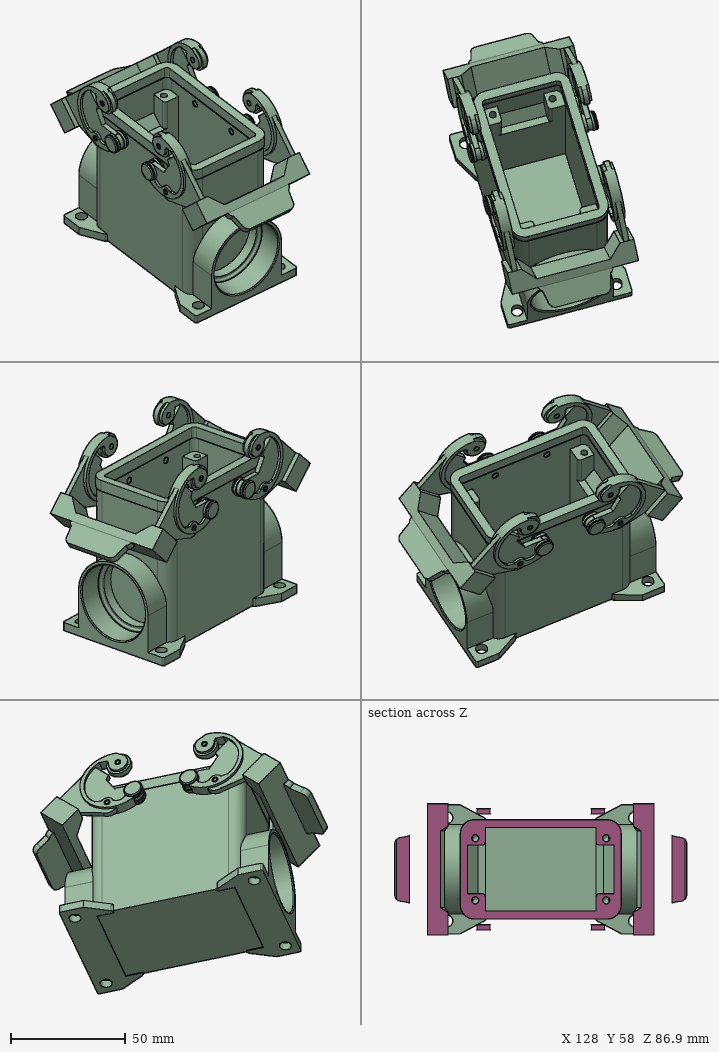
import cadquery as cq
import math

BODY_HALF_X = 35.3
BODY_HALF_Y = 21.8
BODY_BOTTOM = 0.5
COLLAR_BOTTOM = 67.5
BODY_TOP = 72.9
COLLAR_STEP = 0.3
CORNER_RADIUS = 6.2

CAVITY_HALF_X = 31.6
CAVITY_HALF_Y = 17.85
CAVITY_UNDERCUT = 0.4
CAVITY_RADIUS = 1.5
CAVITY_LOWER_RADIUS = 2.8
CAVITY_FLOOR = 4.0

POST_INNER_X = 24.2
POST_INNER_Y = 10.6
POST_TOP = 60.8
POST_RADIUS = 1.5
POST_HOLE_X = 28.7
POST_HOLE_Y = 13.6
POST_HOLE_RADIUS = 1.5
POST_HOLE_DEPTH = 12.0
POST_HOLE_TIP = 0.9

SHELF_SLOPE_X = 27.4
SHELF_TOP = 50.4

HUB_END_X = 46.8
HUB_RADIUS = 19.6
HUB_AXIS_Z = 22.0
BORE_RADIUS = 17.8
BORE_CHAMFER = 0.5
BORE_STEP_X = 35.4
BORE_STEP_RADIUS = 17.5
BORE_END_X = 33.8
BORE_END_FILLET = 1.0
KNOCKOUT_RADIUS = 15.75
KNOCKOUT_FLOOR_X = 29.0

FOOT_HEIGHT = 4.0
FOOT_HALF_Y = 28.4
FOOT_STRAIGHT_X = 35.5
FOOT_TIP_X = 23.8
FOOT_TIP_BEVEL = 0.8
FOOT_CORNER_RADIUS = 1.0
FOOT_HOLE_X = 41.2
FOOT_HOLE_Y = 22.6
FOOT_HOLE_RADIUS = 2.6

RING_X, RING_Z = -21.9, 71.45
RING_RADIUS = 15.49
RING_INNER_RADIUS = 13.6
ROLLER_RADIUS = 5.5
ROLLER_SHOULDER_RADIUS = 4.4
ROLLER_X = -19.9
PIN_X, PIN_Z = -12.8, 63.3
PIN_RADIUS = 4.2
PIN_GROOVE_RADIUS = 3.7
RIVET_X, RIVET_Z = -24.8, 59.1
RIVET_RADIUS = 1.3
RIVET_DIMPLE_RADIUS = 0.9
RIVET_DIMPLE_DEPTH = 0.3
RIVET_HEAD = 0.3
RIVET_BUMP_RADIUS = 2.7
PLATE_LOBE_RADIUS = 5.1
ARM_INSET = 0.1
HOOK_UNDERSIDE_Z = 83.35

RING_NEAR_Y = 22.8
PLATE_NEAR_Y = 24.25
PLATE_FAR_Y = 26.6
RING_FAR_Y = 27.75
PIN_GROOVE_FAR_Y = 28.1
PIN_END_Y = 29.0
PIN_CHAMFER = 0.5
PIN_HOLE_RADIUS = 1.5
PIN_HOLE_DEPTH = 0.9

BAR_HALF_Y = 28.8
BAR_START = 20.9
BAR_WIDTH = 10.5
BAR_DEPTH = 14.0
NOTCH_FLOOR_WIDTH = 4.2
NOTCH_HALF_Y_FLOOR = 16.8
NOTCH_HALF_Y_TOP = 22.5

TAB_END_X = -63.995
TAB_ANGLE = 32.5
TAB_THICKNESS = 3.2
TAB_ROOT = 1.5

DIAGONAL = math.sqrt(0.5)
ROLLER_Z = RING_Z + math.sqrt((RING_RADIUS - ROLLER_RADIUS) ** 2 - (ROLLER_X - RING_X) ** 2)


def both_ends(shape):
    return shape.union(shape.mirror("YZ"))


def both_sides(shape):
    return shape.union(shape.mirror("XZ"))


def rounded_box(half_x, half_y, bottom, top, radius):
    box = cq.Workplane("XY").workplane(offset=bottom).rect(2 * half_x, 2 * half_y).extrude(top - bottom)
    return box.edges("|Z").fillet(radius)


def side_plane(y):
    """XZ workplane at -y whose positive extrusions grow towards -Y."""
    return cq.Workplane("XZ", origin=(0, -y, 0))


def side_disc(x, z, radius, near_y, far_y):
    """Disc about a Y axis on the -Y side, between two distances from the XZ plane."""
    return side_plane(near_y).center(x, z).circle(radius).extrude(far_y - near_y)


def end_disc(radius, start_x, end_x):
    """Disc about the hub axis on the -X side, between two distances from the YZ plane."""
    plane = cq.Workplane("YZ", origin=(-start_x, 0, HUB_AXIS_Z))
    return plane.circle(radius).extrude(start_x - end_x)


def make_shell():
    body = rounded_box(BODY_HALF_X, BODY_HALF_Y, BODY_BOTTOM, COLLAR_BOTTOM, CORNER_RADIUS)
    collar = rounded_box(
        BODY_HALF_X + COLLAR_STEP, BODY_HALF_Y + COLLAR_STEP, COLLAR_BOTTOM, BODY_TOP, CORNER_RADIUS
    )
    return body.union(collar)


def make_hub():
    round_part = end_disc(HUB_RADIUS, HUB_END_X, CAVITY_HALF_X)
    length = HUB_END_X - CAVITY_HALF_X
    base = cq.Workplane("XY").box(length, 2 * HUB_RADIUS, HUB_AXIS_Z, centered=(False, True, False))
    return round_part.union(base.translate((-HUB_END_X, 0, 0)))


def make_foot():
    inner_y = BODY_HALF_Y - 1
    outline = [
        (-HUB_END_X, 0),
        (-HUB_END_X, -FOOT_HALF_Y),
        (-FOOT_STRAIGHT_X, -FOOT_HALF_Y),
        (-FOOT_TIP_X - FOOT_TIP_BEVEL, -BODY_HALF_Y - FOOT_TIP_BEVEL),
        (-FOOT_TIP_X, -BODY_HALF_Y),
        (-FOOT_TIP_X, -inner_y),
        (-CAVITY_HALF_X, -inner_y),
        (-CAVITY_HALF_X, 0),
    ]
    foot = cq.Workplane("XY").polyline(outline).close().extrude(FOOT_HEIGHT)
    corner = cq.selectors.NearestToPointSelector((-HUB_END_X, -FOOT_HALF_Y, FOOT_HEIGHT / 2))
    return foot.edges("|Z").edges(corner).fillet(FOOT_CORNER_RADIUS)


def make_foot_hole():
    hole = cq.Workplane("XY").center(-FOOT_HOLE_X, -FOOT_HOLE_Y)
    return hole.circle(FOOT_HOLE_RADIUS).extrude(FOOT_HEIGHT)


def make_cavity():
    upper = rounded_box(CAVITY_HALF_X, CAVITY_HALF_Y, CAVITY_FLOOR, BODY_TOP, CAVITY_RADIUS)
    lower = rounded_box(
        CAVITY_HALF_X + CAVITY_UNDERCUT,
        CAVITY_HALF_Y + CAVITY_UNDERCUT,
        CAVITY_FLOOR,
        COLLAR_BOTTOM,
        CAVITY_LOWER_RADIUS,
    )
    return upper.union(lower)


def make_post():
    outer_x = CAVITY_HALF_X + 1
    outer_y = CAVITY_HALF_Y + 1
    post = (
        cq.Workplane("XY")
        .box(outer_x - POST_INNER_X, outer_y - POST_INNER_Y, POST_TOP - CAVITY_FLOOR, centered=False)
        .translate((-outer_x, -outer_y, CAVITY_FLOOR))
    )
    post = post.edges("|Z and >X and >Y").fillet(POST_RADIUS)
    hole = cq.Workplane("XY", origin=(-POST_HOLE_X, -POST_HOLE_Y, POST_TOP))
    post = post.cut(hole.circle(POST_HOLE_RADIUS).extrude(-POST_HOLE_DEPTH))
    tip = cq.Solid.makeCone(
        POST_HOLE_RADIUS,
        0,
        POST_HOLE_TIP,
        pnt=cq.Vector(-POST_HOLE_X, -POST_HOLE_Y, POST_TOP - POST_HOLE_DEPTH),
        dir=cq.Vector(0, 0, -1),
    )
    return post.cut(cq.Workplane(tip))


def make_shelf():
    wall_x = CAVITY_HALF_X + 1
    shelf_z = SHELF_TOP - (CAVITY_HALF_X - SHELF_SLOPE_X)
    outline = [
        (-wall_x, CAVITY_FLOOR),
        (-wall_x, SHELF_TOP + 1),
        (-SHELF_SLOPE_X, shelf_z),
        (-POST_INNER_X, shelf_z),
        (-POST_INNER_X, CAVITY_FLOOR),
    ]
    half_y = CAVITY_HALF_Y + 1
    return cq.Workplane("XZ").polyline(outline).close().extrude(half_y, both=True)


def make_bore():
    bore = end_disc(BORE_RADIUS, HUB_END_X, BORE_STEP_X)
    seat = end_disc(BORE_STEP_RADIUS, BORE_STEP_X, BORE_END_X).faces(">X").edges().fillet(BORE_END_FILLET)
    knockout = end_disc(KNOCKOUT_RADIUS, BORE_END_X, KNOCKOUT_FLOOR_X)
    mouth_plane = cq.Workplane("YZ", origin=(-HUB_END_X, 0, HUB_AXIS_Z))
    mouth = mouth_plane.circle(BORE_RADIUS + BORE_CHAMFER).extrude(BORE_CHAMFER, taper=45)
    return bore.union(seat).union(knockout).union(mouth)


def make_housing():
    housing = make_shell()
    housing = housing.union(both_ends(make_hub())).union(both_sides(both_ends(make_foot())))
    housing = housing.cut(make_cavity())
    housing = housing.union(both_sides(both_ends(make_post()))).union(both_ends(make_shelf()))
    housing = housing.cut(both_ends(make_bore()))
    return housing.cut(both_sides(both_ends(make_foot_hole())))


def on_ring(radius, angle):
    """Point at an angle in degrees on a circle about the ring centre."""
    turn = math.radians(angle)
    return (RING_X + radius * math.cos(turn), RING_Z + radius * math.sin(turn))


def on_arm(along, inward):
    """Point of the lever's side outline, from where the straight arm leaves the ring."""
    start_x, start_z = on_ring(RING_RADIUS, 135)
    return (start_x + (inward - along) * DIAGONAL, start_z - (inward + along) * DIAGONAL)


def make_roller_relief(near_y, far_y):
    """Step around the free rim of the roller, clear of where the hook band joins it."""
    reach = 2 * ROLLER_RADIUS
    rim = (
        side_plane(near_y)
        .center(ROLLER_X, ROLLER_Z)
        .circle(ROLLER_RADIUS + 1)
        .circle(ROLLER_SHOULDER_RADIUS)
        .extrude(far_y - near_y)
    )
    band = [(0, 0), (2.2, 3.8), (-0.8, 5.7), (-0.8, reach), (-reach, reach), (-reach, 2.1), (-5.1, 2.1), (-4.35, 0.75)]
    join = side_plane(near_y).center(ROLLER_X, ROLLER_Z).polyline(band).close().extrude(far_y - near_y)
    return rim.cut(join)


def make_hook():
    """C-shaped hook band from the pivot pin round to the roller."""
    roller_angle = math.degrees(math.atan2(ROLLER_Z - RING_Z, ROLLER_X - RING_X))
    lip_rise = HOOK_UNDERSIDE_Z - ROLLER_Z
    underside_rise = HOOK_UNDERSIDE_Z - RING_Z
    opening = (RING_X - math.sqrt(RING_INNER_RADIUS**2 - underside_rise**2), HOOK_UNDERSIDE_Z)
    outline = (
        side_plane(RING_NEAR_Y)
        .moveTo(*on_ring(RING_RADIUS, roller_angle))
        .threePointArc(on_ring(RING_RADIUS, 180), on_ring(RING_RADIUS, -55))
        .lineTo(PIN_X, PIN_Z)
        .lineTo(-16.7, 60.9)
        .threePointArc((-19.7, 59.0), (RIVET_X + RIVET_BUMP_RADIUS, RIVET_Z + 0.8))
        .threePointArc((RIVET_X, RIVET_Z + RIVET_BUMP_RADIUS), (RIVET_X - RIVET_BUMP_RADIUS, RIVET_Z + 1.5))
        .lineTo(*on_ring(RING_INNER_RADIUS, 230))
        .threePointArc(on_ring(RING_INNER_RADIUS, 180), opening)
        .lineTo(ROLLER_X - math.sqrt(ROLLER_RADIUS**2 - lip_rise**2), HOOK_UNDERSIDE_Z)
        .threePointArc((ROLLER_X, ROLLER_Z - ROLLER_RADIUS), on_ring(RING_RADIUS, roller_angle))
        .close()
    )
    hook = outline.extrude(RING_FAR_Y - RING_NEAR_Y)
    for near_y, far_y in [(RING_NEAR_Y, PLATE_NEAR_Y), (PLATE_FAR_Y, RING_FAR_Y)]:
        hook = hook.cut(make_roller_relief(near_y, far_y))
        hook = hook.union(side_disc(PIN_X, PIN_Z, PIN_RADIUS, near_y, far_y))
    return hook


def make_arm():
    """Middle plate of the lever, from the handle bar to the pivot pin."""
    thickness = PLATE_FAR_Y - PLATE_NEAR_Y
    plate_radius = RING_RADIUS - ARM_INSET
    plate_top = PIN_Z + PIN_RADIUS - ARM_INSET
    plate = (
        side_plane(PLATE_NEAR_Y)
        .moveTo(*on_arm(BAR_START + 1, ARM_INSET))
        .lineTo(*on_arm(0, ARM_INSET))
        .lineTo(-30.8, 82.3)
        .lineTo(-24.5, 76.0)
        .lineTo(-25.7, 73.8)
        .lineTo(-21.8, plate_top)
        .lineTo(PIN_X, plate_top)
        .lineTo(*on_ring(plate_radius, -55))
        .threePointArc(on_ring(plate_radius, -72), on_ring(plate_radius, -86))
        .threePointArc((RIVET_X, RIVET_Z - PLATE_LOBE_RADIUS), (-27.2, 54.6))
        .lineTo(*on_arm(BAR_START, BAR_DEPTH))
        .lineTo(*on_arm(BAR_START + 1, BAR_DEPTH))
        .close()
    )
    return plate.extrude(thickness)


def make_rivet(x, z):
    rivet = side_disc(x, z, RIVET_RADIUS, RING_NEAR_Y - RIVET_HEAD, RING_FAR_Y + RIVET_HEAD)
    head_end = RING_FAR_Y + RIVET_HEAD
    return rivet.cut(side_disc(x, z, RIVET_DIMPLE_RADIUS, head_end - RIVET_DIMPLE_DEPTH, head_end))


def make_pin():
    core = side_disc(PIN_X, PIN_Z, PIN_GROOVE_RADIUS, BODY_HALF_Y - 1, PIN_END_Y - PIN_CHAMFER)
    head = side_disc(PIN_X, PIN_Z, PIN_RADIUS, PIN_GROOVE_FAR_Y, PIN_END_Y)
    return core.union(head.faces("<Y").chamfer(PIN_CHAMFER))


def make_pin_hole():
    return side_disc(PIN_X, PIN_Z, PIN_HOLE_RADIUS, CAVITY_HALF_Y, CAVITY_HALF_Y + PIN_HOLE_DEPTH)


def make_lever_side():
    side = make_arm()
    side = side.union(make_hook())
    side = side.union(make_rivet(ROLLER_X, ROLLER_Z)).union(make_rivet(RIVET_X, RIVET_Z))
    return side.union(make_pin())


def make_bar():
    """Handle bar with a wide tapered notch that clears the hub."""
    origin_x, origin_z = on_arm(BAR_START, 0)
    face = cq.Plane(origin=(origin_x, 0, origin_z), xDir=(0, -1, 0), normal=(DIAGONAL, 0, -DIAGONAL))
    floor = BAR_WIDTH - NOTCH_FLOOR_WIDTH
    outline = [
        (-BAR_HALF_Y, 0),
        (-NOTCH_HALF_Y_TOP, 0),
        (-NOTCH_HALF_Y_FLOOR, floor),
        (NOTCH_HALF_Y_FLOOR, floor),
        (NOTCH_HALF_Y_TOP, 0),
        (BAR_HALF_Y, 0),
        (BAR_HALF_Y, BAR_WIDTH),
        (-BAR_HALF_Y, BAR_WIDTH),
    ]
    return cq.Workplane(face).polyline(outline).close().extrude(BAR_DEPTH)


def make_tab():
    origin_x, origin_z = on_arm(BAR_START + BAR_WIDTH, 0)
    tilt = math.radians(TAB_ANGLE)
    length = (origin_x - TAB_END_X) / math.cos(tilt)
    face = cq.Plane(origin=(origin_x, 0, origin_z), xDir=(0, 1, 0), normal=(-math.sin(tilt), 0, math.cos(tilt)))
    tab = (
        cq.Workplane(face)
        .moveTo(-17, -TAB_ROOT)
        .lineTo(-17, 0)
        .threePointArc((-16.5, 1.3), (-15.4, 2.3))
        .lineTo(-14.2, 7.5)
        .threePointArc((-13.2, length - 0.8), (-11.5, length))
        .lineTo(11.5, length)
        .threePointArc((13.2, length - 0.8), (14.2, 7.5))
        .lineTo(15.4, 2.3)
        .threePointArc((16.5, 1.3), (17, 0))
        .lineTo(17, -TAB_ROOT)
        .close()
    )
    return tab.extrude(-TAB_THICKNESS)


lever = both_sides(make_lever_side()).union(make_bar()).union(make_tab())
result = make_housing().cut(both_sides(both_ends(make_pin_hole()))).union(both_ends(lever))